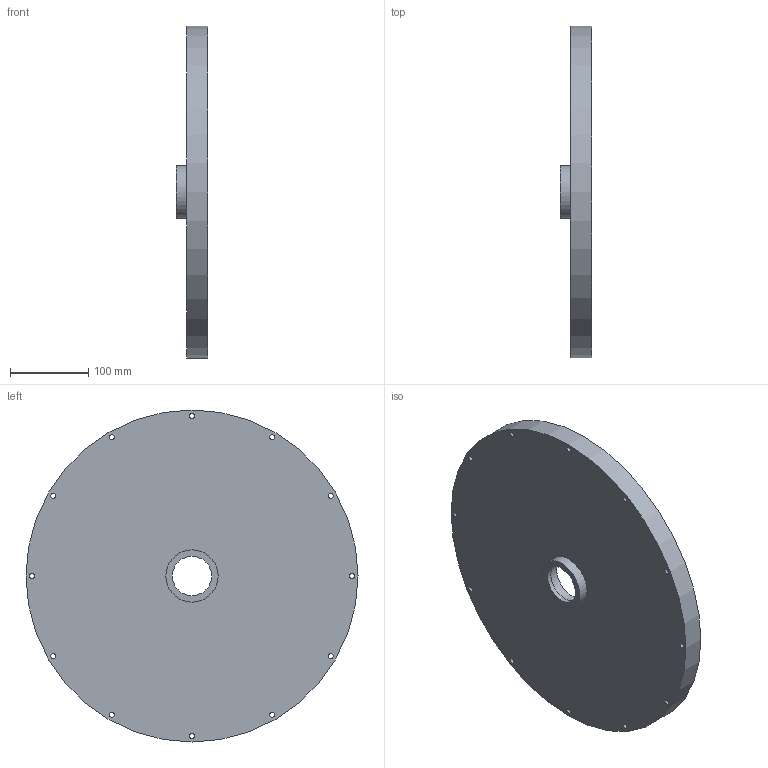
import cadquery as cq

disc_diameter = 425.6
disc_thickness = 27.0
plate_thickness = 6.0

hub_diameter = 67.0
hub_height = 13.0
lip_bore_diameter = 50.4
lip_thickness = 6.0
seat_diameter = 55.0

rim_wall = 15.0
bolt_count = 12
bolt_hole_diameter = 6.5
bolt_circle_diameter = disc_diameter - rim_wall
recess_diameter = disc_diameter - 2 * rim_wall

total_width = hub_height + disc_thickness
hub_face_x = -total_width / 2
disc_face_x = hub_face_x + hub_height
recess_floor_x = disc_face_x + plate_thickness
seat_shoulder_x = hub_face_x + lip_thickness
back_face_x = total_width / 2


def cylinder_along_x(start_x, end_x, diameter):
    """Cylinder on the X axis between two X positions."""
    return cq.Workplane("YZ", origin=(start_x, 0, 0)).circle(diameter / 2).extrude(end_x - start_x)


def blank():
    """Solid disc with its hub."""
    disc = cylinder_along_x(disc_face_x, back_face_x, disc_diameter)
    hub = cylinder_along_x(hub_face_x, disc_face_x, hub_diameter)
    return disc.union(hub)


def stepped_bore():
    """Lip bore opening into the wider bearing seat."""
    lip_bore = cylinder_along_x(hub_face_x, seat_shoulder_x, lip_bore_diameter)
    seat = cylinder_along_x(seat_shoulder_x, recess_floor_x, seat_diameter)
    return lip_bore.union(seat)


def recess():
    """Round recess behind the plate, inside the rim wall."""
    return cylinder_along_x(recess_floor_x, back_face_x, recess_diameter)


def bolt_holes():
    """Ring of through holes in the rim."""
    return (
        cq.Workplane("YZ", origin=(disc_face_x, 0, 0))
        .polarArray(bolt_circle_diameter / 2, 0, 360, bolt_count)
        .circle(bolt_hole_diameter / 2)
        .extrude(disc_thickness)
    )


result = blank().cut(stepped_bore()).cut(recess()).cut(bolt_holes())